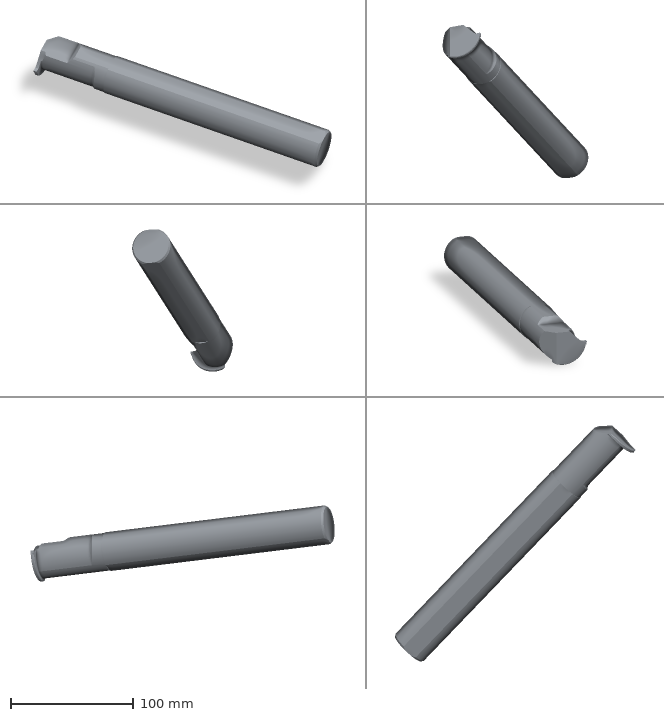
import cadquery as cq

LENGTH = 250.0
SHANK_RADIUS = 16.0
SHANK_START = 59.7
FLAT_HEIGHT = 14.5
END_CHAMFER_LENGTH = 1.7
END_CHAMFER_DEPTH = 1.2

NECK_RADIUS = 15.5
RELIEF_RADIUS = 18.5
RELIEF_CENTER_Y = 5.0
RELIEF_START = 48.5
RELIEF_RUNOUT = 4.0
RELIEF_RISE = 3.0
RELIEF_FILLET = 2.0
HEAD_FLAT_HEIGHT = 9.7
HEAD_FLAT_END = 25.0
RAMP_FILLET = 1.5
CORNER_START_Y = 4.5

BLADE_WIDTH = 2.7
BLADE_RADIUS = 19.2
BLADE_CENTER_Y = -2.2
BLADE_CENTER_Z = 0.7
BLADE_CHAMFER = 0.5

CHIP_TOP_Y = -7.2
CHIP_FOOT = (-16.0, 1.2)
CHIP_DEPTH = 4.0
CHIP_MAX_DEPTH = 6.0
CHIP_MAX_Y = -10.7
CHIP_RETURN_Y = -14.0

TIP = (SHANK_RADIUS - 38.0, 0.0)
RAKE_ROOT = (-18.2, -0.2)
INSERT_REAR = (-7.7, -1.2)
INSERT_PROFILE = [
    INSERT_REAR, (-11.0, 0.2), CHIP_FOOT, RAKE_ROOT, TIP,
    (-21.5, -2.7), (-19.0, -3.7), (-14.5, -4.2), (-10.7, -5.2), (-9.5, -2.5),
]
MARGIN = 25.0


def cylinder(radius, start, end, y=0.0, z=0.0):
    """Solid cylinder parallel to X."""
    return cq.Workplane("YZ", origin=(start, y, z)).circle(radius).extrude(end - start)


def make_shank():
    chamfer_start = LENGTH - END_CHAMFER_LENGTH
    profile = [
        (SHANK_START, 0),
        (SHANK_START, SHANK_RADIUS),
        (chamfer_start, SHANK_RADIUS),
        (LENGTH, SHANK_RADIUS - END_CHAMFER_DEPTH),
        (LENGTH, 0),
    ]
    round_bar = cq.Workplane("XY").polyline(profile).close().revolve(360, (0, 0, 0), (1, 0, 0))
    flats = cq.Workplane("XY").box(2 * LENGTH, 2 * SHANK_RADIUS, 2 * FLAT_HEIGHT)
    return round_bar.intersect(flats)


def make_neck():
    """Round neck, relieved on its -Y side by an eccentric turned surface with a conical run-out."""
    neck = cylinder(NECK_RADIUS, 0, SHANK_START)
    end_radius = RELIEF_RADIUS + RELIEF_RISE
    profile = [
        (0, 0),
        (0, RELIEF_RADIUS),
        (RELIEF_START, RELIEF_RADIUS),
        (RELIEF_START + RELIEF_RUNOUT, end_radius),
        (SHANK_START, end_radius),
        (SHANK_START, 0),
    ]
    envelope = (
        cq.Workplane("XY", origin=(0, RELIEF_CENTER_Y, 0))
        .polyline(profile).close()
        .revolve(360, (0, 0, 0), (1, 0, 0))
    )
    foot = cq.selectors.NearestToPointSelector((RELIEF_START, RELIEF_CENTER_Y, 0))
    envelope = envelope.edges("%CIRCLE").edges(foot).fillet(RELIEF_FILLET)
    return neck.intersect(envelope)


def make_blade():
    disc = cylinder(BLADE_RADIUS, 0, BLADE_WIDTH, BLADE_CENTER_Y, BLADE_CENTER_Z)
    return disc.edges("%CIRCLE").chamfer(BLADE_CHAMFER)


def make_head_flat_cut():
    """Space above the stepped top of the head, rising at 45 degrees to the main flat."""
    ramp_end = HEAD_FLAT_END + FLAT_HEIGHT - HEAD_FLAT_HEIGHT
    profile = [
        (-MARGIN, HEAD_FLAT_HEIGHT),
        (HEAD_FLAT_END, HEAD_FLAT_HEIGHT),
        (ramp_end, FLAT_HEIGHT),
        (LENGTH, FLAT_HEIGHT),
        (LENGTH, MARGIN),
        (-MARGIN, MARGIN),
    ]
    cut = cq.Workplane("XZ").polyline(profile).close().extrude(MARGIN, both=True)
    ramp_foot = cq.selectors.NearestToPointSelector((HEAD_FLAT_END, 0, HEAD_FLAT_HEIGHT))
    return cut.edges("|Y").edges(ramp_foot).fillet(RAMP_FILLET)


def make_corner_cut():
    """45 degree corner bevel on the +Y side of the cutting face."""
    profile = [(0, CORNER_START_Y), (MARGIN, CORNER_START_Y + MARGIN), (0, CORNER_START_Y + MARGIN)]
    return cq.Workplane("XY").polyline(profile).close().extrude(MARGIN, both=True)


def make_chip_cut():
    above_slope = (
        cq.Workplane("YZ")
        .polyline([
            (CHIP_TOP_Y, HEAD_FLAT_HEIGHT), CHIP_FOOT, RAKE_ROOT, TIP,
            (-MARGIN, TIP[1]), (-MARGIN, HEAD_FLAT_HEIGHT),
        ])
        .close().extrude(MARGIN)
    )
    plan = (
        cq.Workplane("XY")
        .polyline([
            (0, CHIP_TOP_Y), (CHIP_DEPTH, CHIP_TOP_Y), (CHIP_MAX_DEPTH, CHIP_MAX_Y),
            (BLADE_WIDTH, CHIP_RETURN_Y), (BLADE_WIDTH, -MARGIN), (0, -MARGIN),
        ])
        .close().extrude(MARGIN, both=True)
    )
    return above_slope.intersect(plan)


def make_insert():
    return cq.Workplane("YZ").polyline(INSERT_PROFILE).close().extrude(BLADE_WIDTH)


def make_holder(insert):
    holder = make_neck().union(make_blade())
    holder = holder.cut(make_head_flat_cut()).cut(make_corner_cut()).cut(make_chip_cut())
    return holder.union(make_shank()).cut(insert)


insert = make_insert()
holder = make_holder(insert)
result = cq.Compound.makeCompound([holder.val(), insert.val()])